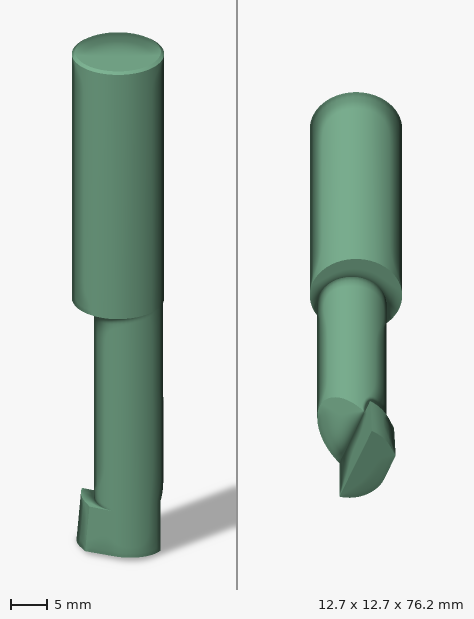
import cadquery as cq
import math

total_length = 76.2
shank_diameter = 12.7
shank_length = total_length / 2
chamfer_width = 0.45
chamfer_height = 0.3

neck_diameter = 9.5
neck_radius = neck_diameter / 2
neck_center_x = (shank_diameter - neck_diameter) / 2

flat_length = 7.9

tooth_height = 7.6
tooth_lean = 0.7
tip_x = -6.1
flank_middle = (-5.5, -1.75)
flank_end = (-4.4, -3.3)
heel_x = -2.9

end_rise_angle_y = 6
end_rise_angle_x = 1.4


def make_shank():
    shank = (
        cq.Workplane("XY")
        .workplane(offset=total_length - shank_length)
        .circle(shank_diameter / 2)
        .extrude(shank_length)
    )
    return shank.faces(">Z").edges().chamfer(chamfer_height, chamfer_width)


def make_neck():
    neck = cq.Workplane("XY").center(neck_center_x, 0).circle(neck_radius)
    return neck.extrude(total_length - shank_length)


def make_flat_cutter():
    """Volume beyond the flat on +Y, closed at the top by a 45 degree slope."""
    depth = shank_diameter
    return (
        cq.Workplane("YZ")
        .polyline([(0, 0), (depth, 0), (depth, flat_length + depth), (0, flat_length)])
        .close()
        .extrude(shank_diameter, both=True)
    )


def tooth_outline(z, shift):
    """Tooth section at height z with its cutting side moved by shift along X."""
    return (
        cq.Workplane("XY", origin=(0, 0, z))
        .moveTo(tip_x + shift, 0)
        .threePointArc(
            (flank_middle[0] + shift, flank_middle[1]),
            (flank_end[0] + shift, flank_end[1]),
        )
        .lineTo(heel_x + shift, -neck_radius)
        .lineTo(neck_center_x, -neck_radius)
        .lineTo(neck_center_x, 0)
        .close()
        .wires()
        .val()
    )


def make_tooth():
    bottom = tooth_outline(0, 0)
    top = tooth_outline(tooth_height, tooth_lean)
    return cq.Workplane(cq.Solid.makeLoft([bottom, top], True))


def make_end_cutter():
    """Half-space below the end face, which passes through the cutting tip."""
    slope_x = math.tan(math.radians(end_rise_angle_x))
    slope_y = math.tan(math.radians(end_rise_angle_y))
    end_plane = cq.Plane(
        origin=(tip_x, 0, 0),
        xDir=(1, 0, slope_x),
        normal=(-slope_x, slope_y, 1),
    )
    size = 4 * shank_diameter
    return cq.Workplane(end_plane).rect(size, size).extrude(-shank_diameter)


lower_part = make_neck().cut(make_flat_cutter()).union(make_tooth()).cut(make_end_cutter())
result = make_shank().union(lower_part)